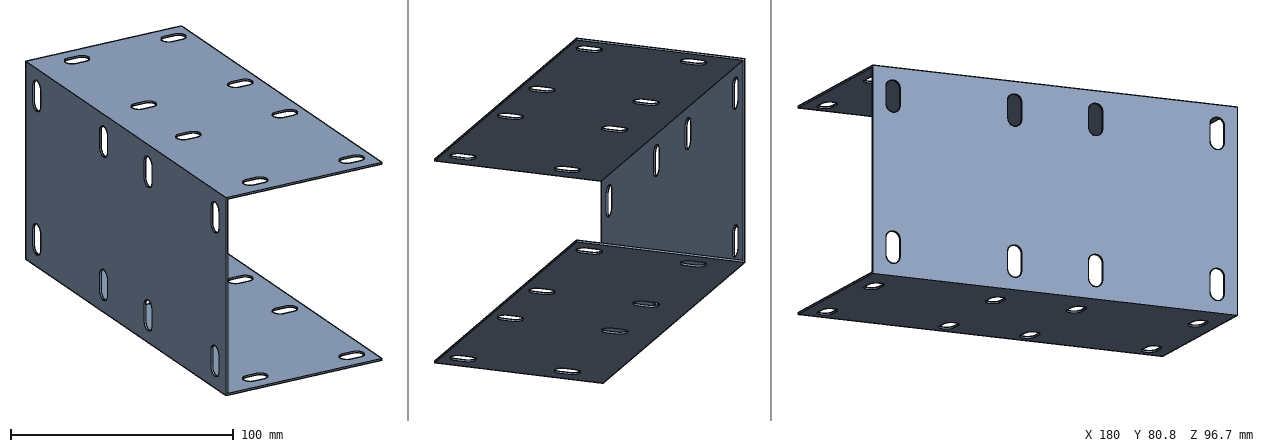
import cadquery as cq

length = 180.0
depth = 80.8
height = 96.7
sheet = 0.94

slot_width = 7.0
outer_column_spacing = 160.0
inner_column_spacing = 40.0
outer_column_x = outer_column_spacing / 2
inner_column_x = inner_column_spacing / 2
column_x = [-outer_column_x, -inner_column_x, inner_column_x, outer_column_x]

web_slot_length = 15.0
web_row_spacing = 70.0
flange_slot_length = 12.0
flange_row_spacing = 50.0
flange_edge_margin = 9.9

web_row_z = [-web_row_spacing / 2, web_row_spacing / 2]
back_row_y = depth / 2 - flange_edge_margin
flange_row_y = [back_row_y - flange_row_spacing, back_row_y]


def channel():
    """Bent sheet with the web on the -Y side, open toward +Y."""
    inside = cq.Workplane("XY").box(length, depth, height - 2 * sheet).translate((0, sheet, 0))
    return cq.Workplane("XY").box(length, depth, height).cut(inside)


def web_slots():
    """Cutters through the web only."""
    centres = [(x, z) for x in column_x for z in web_row_z]
    return (
        cq.Workplane("XZ", origin=(0, -depth / 2, 0))
        .pushPoints(centres)
        .slot2D(web_slot_length, slot_width, 90)
        .extrude(-sheet)
    )


def flange_slots():
    """Cutters through both flanges, so their slots line up."""
    centres = [(x, y) for x in column_x for y in flange_row_y]
    return (
        cq.Workplane("XY", origin=(0, 0, -height / 2))
        .pushPoints(centres)
        .slot2D(flange_slot_length, slot_width, 90)
        .extrude(height)
    )


result = channel().cut(web_slots()).cut(flange_slots())